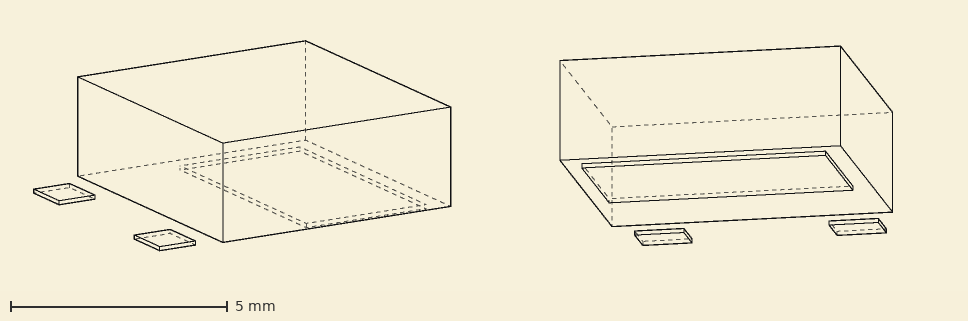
import cadquery as cq

body_width = 6.6
body_depth = 6.1
body_height = 2.38

plate_thickness = 0.1

lead_width = 1.16
lead_depth = 0.96
lead_pitch = 4.57
lead_gap = 0.47

tab_width = lead_pitch + lead_width
tab_depth = 3.2
tab_rear_inset = 0.41

body_front = -body_depth / 2
body_rear = body_depth / 2
lead_y = body_front - lead_gap - lead_depth / 2
tab_y = body_rear - tab_rear_inset - tab_depth / 2


def make_body():
    """Block standing on top of the plates."""
    return (
        cq.Workplane("XY")
        .workplane(offset=plate_thickness)
        .box(body_width, body_depth, body_height, centered=(True, True, False))
    )


def make_plate(width, depth, x, y):
    """Thin rectangular plate centred at (x, y) with its underside at Z = 0."""
    return (
        cq.Workplane("XY")
        .center(x, y)
        .box(width, depth, plate_thickness, centered=(True, True, False))
    )


body = make_body()
heat_tab = make_plate(tab_width, tab_depth, 0, tab_y)
leads = [make_plate(lead_width, lead_depth, side * lead_pitch / 2, lead_y) for side in (-1, 1)]

result = cq.Compound.makeCompound([body.val(), heat_tab.val(), *[lead.val() for lead in leads]])